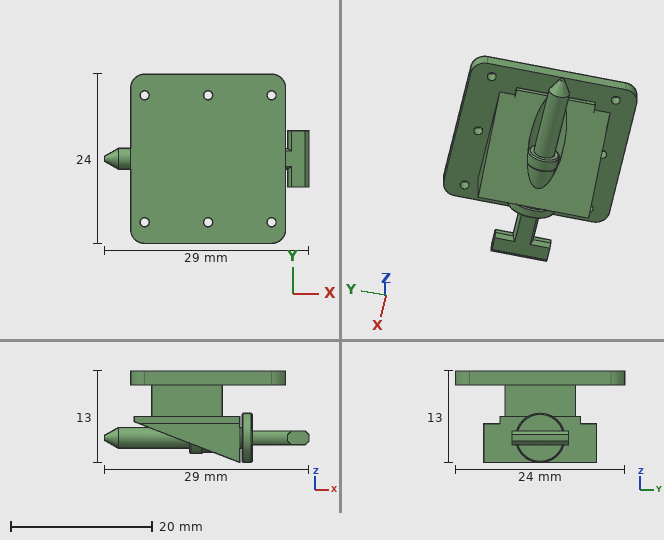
import cadquery as cq


plate_length = 21.98
plate_width = 24.0
plate_thickness = 2.0
corner_radius = 2.0
mount_hole_diameter = 1.25
mount_hole_pitch = 9.0

column_side = 10.0
column_height = 4.45
base_center_x = -3.0
base_length = 15.0
pad_width = 11.43
pad_step = 1.02
wedge_width = 16.0
toe_height = 0.75
total_height = 13.0

pad_top_z = -(plate_thickness + column_height)
ledge_z = pad_top_z - pad_step
base_left_x = base_center_x - base_length / 2
base_right_x = base_center_x + base_length / 2

axis_z = -9.48
tip_x = -14.7
screw_length = 29.0
shaft_diameter = 3.0
tip_diameter = 0.7
cone_length = 2.0
flange_diameter = 7.0
flange_length = 1.45
flange_chamfer = 0.17
flange_gap = 0.3
handle_thickness = 2.0
handle_length = 3.05
handle_width = 8.0
handle_chamfer = 0.55

flange_x = base_right_x + flange_gap
flange_end_x = flange_x + flange_length
screw_end_x = tip_x + screw_length

sleeve_diameter = 4.1
collar_diameter = 4.5
collar_x = -2.65
collar_length = 1.9
collar_chamfer = (collar_diameter - sleeve_diameter) / 2
clearance_diameter = 5.0
seat_wall = 2.0


def rod(diameter, start_x, end_x):
    """Cylinder on the screw axis between two X positions."""
    return (
        cq.Workplane("YZ", origin=(start_x, 0, axis_z))
        .circle(diameter / 2)
        .extrude(end_x - start_x)
    )


def box_below(length, width, height, center_x, top_z):
    """Box hanging down from top_z, centred on Y = 0."""
    return cq.Workplane("XY", origin=(center_x, 0, top_z)).rect(length, width).extrude(-height)


def make_plate():
    plate = box_below(plate_length, plate_width, plate_thickness, 0, 0)
    plate = plate.edges("|Z").fillet(corner_radius)
    hole_points = [
        (column * mount_hole_pitch, row * mount_hole_pitch)
        for column in (-1, 0, 1)
        for row in (-1, 1)
    ]
    holes = (
        cq.Workplane("XY")
        .pushPoints(hole_points)
        .circle(mount_hole_diameter / 2)
        .extrude(-plate_thickness)
    )
    return plate.cut(holes)


def make_wedge():
    """Sloping wedge whose sides are stepped down beside the raised pad."""
    wedge = (
        cq.Workplane("XZ")
        .moveTo(base_left_x, pad_top_z)
        .lineTo(base_right_x, pad_top_z)
        .lineTo(base_right_x, -total_height)
        .lineTo(base_left_x, pad_top_z - toe_height)
        .close()
        .extrude(wedge_width / 2, both=True)
    )
    pad = box_below(base_length, pad_width, pad_step, base_center_x, pad_top_z)
    lower = box_below(base_length, wedge_width, total_height + ledge_z, base_center_x, ledge_z)
    return wedge.intersect(pad.union(lower))


def make_table():
    column = box_below(column_side, column_side, column_height, base_center_x, -plate_thickness)
    table = make_plate().union(column).union(make_wedge())
    clearance = rod(clearance_diameter, base_left_x, base_right_x - seat_wall)
    seat = rod(sleeve_diameter, base_left_x, base_right_x)
    return table.cut(clearance).cut(seat)


def make_bushing():
    collar = rod(collar_diameter, collar_x, collar_x + collar_length)
    collar = collar.edges().chamfer(collar_chamfer)
    sleeve = rod(sleeve_diameter, collar_x, base_right_x)
    bore = rod(shaft_diameter, collar_x, base_right_x)
    return collar.union(sleeve).cut(bore)


def make_screw():
    tip_profile = [
        (tip_x, 0),
        (tip_x, tip_diameter / 2),
        (tip_x + cone_length, shaft_diameter / 2),
        (flange_end_x, shaft_diameter / 2),
        (flange_end_x, 0),
    ]
    shaft = (
        cq.Workplane("XY", origin=(0, 0, axis_z))
        .polyline(tip_profile)
        .close()
        .revolve(360, (0, 0, 0), (1, 0, 0))
    )
    flange = rod(flange_diameter, flange_x, flange_end_x).edges().chamfer(flange_chamfer)

    stem_end_x = screw_end_x - handle_length / 2
    stem_length = stem_end_x - flange_end_x
    stem_slab = box_below(
        stem_length,
        shaft_diameter,
        handle_thickness,
        flange_end_x + stem_length / 2,
        axis_z + handle_thickness / 2,
    )
    stem = rod(shaft_diameter, flange_end_x, stem_end_x).intersect(stem_slab)

    handle = box_below(
        handle_length,
        handle_width,
        handle_thickness,
        screw_end_x - handle_length / 2,
        axis_z + handle_thickness / 2,
    )
    handle = handle.edges("|Y").chamfer(handle_chamfer)
    return shaft.union(flange).union(stem).union(handle)


table = make_table()
bushing = make_bushing()
screw = make_screw()

result = cq.Compound.makeCompound([table.val(), bushing.val(), screw.val()])